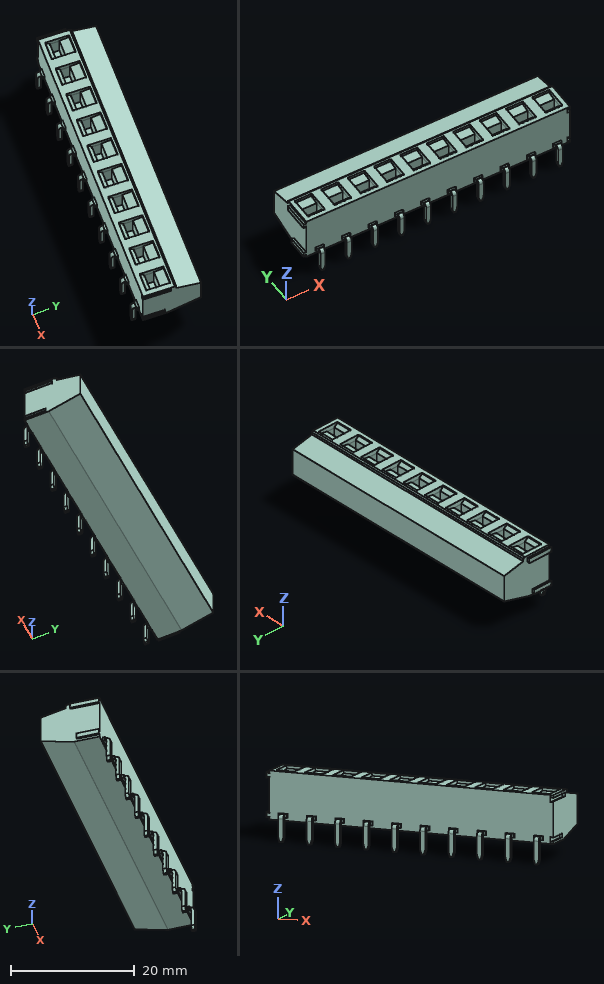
import cadquery as cq
import math

POLES = 10
PITCH = 5.0

HOUSING_LENGTH = POLES * PITCH
HOUSING_DEPTH = 10.0
HOUSING_HEIGHT = 8.1
BOTTOM_FLAT_DEPTH = 4.35
BACK_BOTTOM_Z = 1.5
BACK_TOP_Z = 6.5
RIDGE_DEPTH = 5.75
RIDGE_FOOT_Z = 7.4
RIDGE_BEVEL_DEPTH = 0.3
RIDGE_BEVEL_HEIGHT = 0.2

DOVETAIL_REACH = 0.5
DOVETAIL_HEIGHT = 0.9
DOVETAIL_UNDERCUT = 0.15
DOVETAIL_INSET = 0.3
UPPER_DOVETAIL_LENGTH = 4.9
LOWER_DOVETAIL_LENGTH = 3.8

OPENING_WIDTH = 3.2
OPENING_FRONT_Y = 0.9
OPENING_BACK_Y = 5.0
MOUTH_DEPTH = 0.7
MOUTH_DRAFT = 7.0
LIP_LENGTH = 0.75
LIP_DEPTH = 0.2
LEDGE_LENGTH = 1.65
LEDGE_BACK_DEPTH = 0.5
SHAFT_DEPTH = 4.05

PIN_WIDTH = 0.9
PIN_THICKNESS = 0.6
PIN_REACH = 1.1
PIN_BOTTOM_Z = -3.35
PIN_UNDERSIDE_Z = 0.55
PIN_TIP_WIDTH = 0.4
PIN_TIP_HEIGHT = 0.75
PIN_ROOT_DEPTH = 0.5

COLLAR_WIDTH = 1.5
COLLAR_HEIGHT = 0.65
COLLAR_THICKNESS = 0.3
COLLAR_TAPER_LENGTH = 0.125

POLE_CENTRES = [(i - (POLES - 1) / 2) * PITCH for i in range(POLES)]


def make_housing():
    """Side profile extruded along X."""
    profile = [
        (0, 0),
        (BOTTOM_FLAT_DEPTH, 0),
        (HOUSING_DEPTH, BACK_BOTTOM_Z),
        (HOUSING_DEPTH, BACK_TOP_Z),
        (RIDGE_DEPTH, RIDGE_FOOT_Z),
        (RIDGE_DEPTH, HOUSING_HEIGHT - RIDGE_BEVEL_HEIGHT),
        (RIDGE_DEPTH - RIDGE_BEVEL_DEPTH, HOUSING_HEIGHT),
        (0, HOUSING_HEIGHT),
    ]
    return (
        cq.Workplane("YZ")
        .polyline(profile)
        .close()
        .extrude(HOUSING_LENGTH / 2, both=True)
    )


def make_dovetail(root_x, centre_z, length):
    """Dovetail bar that widens toward -X, running back from the front face."""
    outer_half = DOVETAIL_HEIGHT / 2
    root_half = outer_half - DOVETAIL_UNDERCUT
    outer_x = root_x - DOVETAIL_REACH
    section = [
        (root_x, centre_z - root_half),
        (root_x, centre_z + root_half),
        (outer_x, centre_z + outer_half),
        (outer_x, centre_z - outer_half),
    ]
    return cq.Workplane("XZ").polyline(section).close().extrude(-length)


def make_dovetail_pair(root_x):
    """Upper and lower dovetail bars at one end of the housing."""
    centre_inset = DOVETAIL_INSET + DOVETAIL_HEIGHT / 2
    upper = make_dovetail(root_x, HOUSING_HEIGHT - centre_inset, UPPER_DOVETAIL_LENGTH)
    lower = make_dovetail(root_x, centre_inset, LOWER_DOVETAIL_LENGTH)
    return upper.union(lower)


def make_opening(x):
    """Void of one wire opening: tapered mouth over a sloping ledge and a straight shaft."""
    side_inset = MOUTH_DEPTH * math.tan(math.radians(MOUTH_DRAFT))
    inner_width = OPENING_WIDTH - 2 * side_inset
    mouth_bottom_z = HOUSING_HEIGHT - MOUTH_DEPTH
    shaft_front_y = OPENING_FRONT_Y + LIP_LENGTH
    shaft_back_y = OPENING_BACK_Y - LEDGE_LENGTH
    shaft_bottom_z = HOUSING_HEIGHT - SHAFT_DEPTH

    width_profile = [
        (x - OPENING_WIDTH / 2, HOUSING_HEIGHT),
        (x - inner_width / 2, mouth_bottom_z),
        (x - inner_width / 2, shaft_bottom_z),
        (x + inner_width / 2, shaft_bottom_z),
        (x + inner_width / 2, mouth_bottom_z),
        (x + OPENING_WIDTH / 2, HOUSING_HEIGHT),
    ]
    depth_profile = [
        (OPENING_FRONT_Y, HOUSING_HEIGHT),
        (OPENING_FRONT_Y, HOUSING_HEIGHT - LIP_DEPTH),
        (shaft_front_y, mouth_bottom_z),
        (shaft_front_y, shaft_bottom_z),
        (shaft_back_y, shaft_bottom_z),
        (shaft_back_y, mouth_bottom_z),
        (OPENING_BACK_Y, HOUSING_HEIGHT - LEDGE_BACK_DEPTH),
        (OPENING_BACK_Y, HOUSING_HEIGHT),
    ]
    across_x = cq.Workplane("XZ").polyline(width_profile).close().extrude(-HOUSING_DEPTH)
    across_y = (
        cq.Workplane("YZ", origin=(x, 0, 0))
        .polyline(depth_profile)
        .close()
        .extrude(OPENING_WIDTH / 2, both=True)
    )
    return across_x.intersect(across_y)


def make_pin(x):
    """L-shaped pin with a rounded elbow and a tapered tip."""
    inner_y = -PIN_REACH + PIN_THICKNESS
    top_z = PIN_UNDERSIDE_Z + PIN_THICKNESS
    elbow_offset = PIN_THICKNESS * math.sqrt(0.5)
    bent_strip = (
        cq.Workplane("YZ", origin=(x, 0, 0))
        .moveTo(PIN_ROOT_DEPTH, PIN_UNDERSIDE_Z)
        .lineTo(PIN_ROOT_DEPTH, top_z)
        .lineTo(inner_y, top_z)
        .threePointArc(
            (inner_y - elbow_offset, PIN_UNDERSIDE_Z + elbow_offset),
            (-PIN_REACH, PIN_UNDERSIDE_Z),
        )
        .lineTo(-PIN_REACH, PIN_BOTTOM_Z)
        .lineTo(inner_y, PIN_BOTTOM_Z)
        .lineTo(inner_y, PIN_UNDERSIDE_Z)
        .close()
        .extrude(PIN_WIDTH / 2, both=True)
    )
    taper_top_z = PIN_BOTTOM_Z + PIN_TIP_HEIGHT
    front_outline = [
        (x - PIN_TIP_WIDTH / 2, PIN_BOTTOM_Z),
        (x + PIN_TIP_WIDTH / 2, PIN_BOTTOM_Z),
        (x + PIN_WIDTH / 2, taper_top_z),
        (x + PIN_WIDTH / 2, top_z),
        (x - PIN_WIDTH / 2, top_z),
        (x - PIN_WIDTH / 2, taper_top_z),
    ]
    outline_prism = (
        cq.Workplane("XZ")
        .polyline(front_outline)
        .close()
        .extrude(PIN_REACH + PIN_ROOT_DEPTH, both=True)
    )
    return bent_strip.intersect(outline_prism)


def make_collar(x):
    """Flat collar whose two sides taper in to the pin width."""
    front_y = -COLLAR_THICKNESS - COLLAR_TAPER_LENGTH
    plan = [
        (x - COLLAR_WIDTH / 2, PIN_ROOT_DEPTH),
        (x - COLLAR_WIDTH / 2, -COLLAR_THICKNESS),
        (x - PIN_WIDTH / 2, front_y),
        (x + PIN_WIDTH / 2, front_y),
        (x + COLLAR_WIDTH / 2, -COLLAR_THICKNESS),
        (x + COLLAR_WIDTH / 2, PIN_ROOT_DEPTH),
    ]
    return (
        cq.Workplane("XY", origin=(0, 0, PIN_UNDERSIDE_Z))
        .polyline(plan)
        .close()
        .extrude(COLLAR_HEIGHT)
    )


result = make_housing()
result = result.union(make_dovetail_pair(-HOUSING_LENGTH / 2))
result = result.cut(make_dovetail_pair(HOUSING_LENGTH / 2))

for pole_x in POLE_CENTRES:
    result = result.cut(make_opening(pole_x))
    result = result.union(make_collar(pole_x))
    result = result.union(make_pin(pole_x))